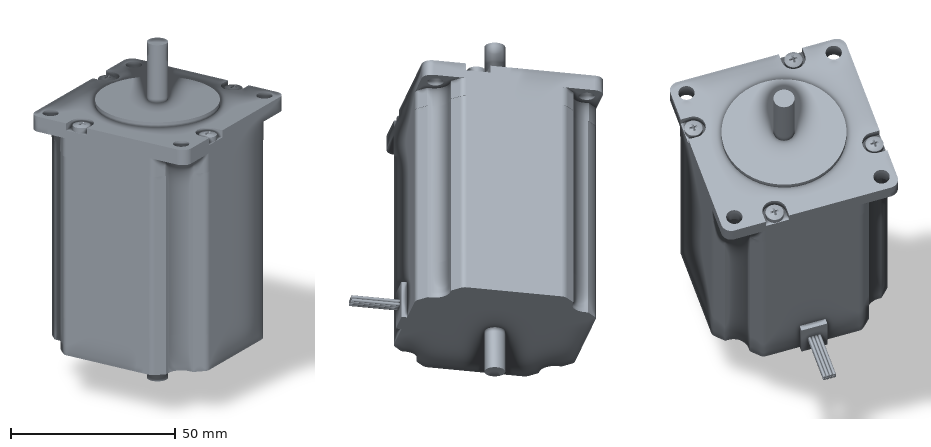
import cadquery as cq
import math


total_length = 110.1
width = 56.4
half_width = width / 2

rear_shaft_length = 13.5
body_length = 76.0
cap_height = 11.9
front_housing_height = 11.0
flange_thickness = 5.0
pilot_height = 1.7

shaft_diameter = 6.4
pilot_diameter = 38.1

flange_corner_radius = 3.1
mount_hole_diameter = 5.0
mount_hole_offset = 23.6

edge_round_radius = 2.4
relief_step = 19.0
relief_radius = 4.8
housing_bevel_sum = 44.3
stack_bevel_sum = 44.0

screw_offset_along = 11.2
screw_offset_out = 25.3
screw_head_diameter = 5.5
screw_head_height = 1.7
screw_dome_height = 0.5
screw_pocket_width = 7.5
screw_pocket_depth = 2.3
recess_diameter = 3.0
recess_slot_width = 0.7
recess_depth = 1.1

grommet_width = 8.3
grommet_depth = 1.8
lead_diameter = 1.0
lead_pitch = 1.05
lead_columns = 4
lead_rows = 2
lead_end = 44.9

stack_top = body_length - front_housing_height
flange_bottom = body_length - flange_thickness
pocket_floor = body_length - screw_pocket_depth


def cylinder(diameter, bottom, height):
    return cq.Workplane("XY").workplane(offset=bottom).circle(diameter / 2).extrude(height)


def quarter_turn(point, count):
    """Turn a point about the shaft axis by a number of quarter turns."""
    x, y = point
    for _ in range(count):
        x, y = -y, x
    return x, y


def body_section(bevel_sum, bottom, height):
    """Square prism whose four corners are rounded, bevelled and relieved by a concave groove."""
    bevel_angle = math.radians(45)

    def edge_round(angle, start):
        """Point on the rounded edge, as its distances outward and along the side face."""
        outward = half_width - edge_round_radius * (1 - math.cos(angle))
        return outward, start + edge_round_radius * math.sin(angle)

    bevel_outward, round_run = edge_round(bevel_angle, 0)
    face_end = bevel_sum - bevel_outward - round_run
    round_start = (half_width, face_end)
    round_mid = edge_round(bevel_angle / 2, face_end)
    round_end = edge_round(bevel_angle, face_end)
    bevel_end = (bevel_sum - relief_step, relief_step)
    groove_start = (relief_step + relief_radius, relief_step)
    groove_mid_offset = relief_step + relief_radius * (1 - math.cos(bevel_angle))
    groove_mid = (groove_mid_offset, groove_mid_offset)

    def mirrored(point):
        return point[1], point[0]

    outline = cq.Workplane("XY").workplane(offset=bottom).moveTo(half_width, -face_end)
    for quarter in range(4):
        corner = [
            quarter_turn(point, quarter)
            for point in (
                round_start, round_mid, round_end, bevel_end, groove_start, groove_mid,
                mirrored(groove_start), mirrored(bevel_end), mirrored(round_end),
                mirrored(round_mid), mirrored(round_start),
            )
        ]
        outline = (
            outline.lineTo(*corner[0])
            .threePointArc(corner[1], corner[2])
            .lineTo(*corner[3])
            .lineTo(*corner[4])
            .threePointArc(corner[5], corner[6])
            .lineTo(*corner[7])
            .lineTo(*corner[8])
            .threePointArc(corner[9], corner[10])
        )
    return outline.close().extrude(height)


def flange():
    plate = (
        cq.Workplane("XY").workplane(offset=flange_bottom)
        .rect(width, width).extrude(flange_thickness)
        .edges("|Z").fillet(flange_corner_radius)
    )
    return (
        plate.faces(">Z").workplane()
        .rect(2 * mount_hole_offset, 2 * mount_hole_offset, forConstruction=True)
        .vertices().hole(mount_hole_diameter)
    )


def screw_pocket():
    """Pocket at the +Y side: round about the screw and open to the flange edge."""
    floor = cq.Workplane("XY").workplane(offset=pocket_floor)
    round_end = floor.circle(screw_pocket_width / 2).extrude(screw_pocket_depth)
    channel = (
        floor.center(0, screw_pocket_width / 2)
        .rect(screw_pocket_width, screw_pocket_width).extrude(screw_pocket_depth)
    )
    return round_end.union(channel).translate((screw_offset_along, screw_offset_out, 0))


def screw_head():
    """Domed head standing on the pocket floor, with a cross recess that narrows downward."""
    radius = screw_head_diameter / 2
    rim = pocket_floor + screw_head_height
    crown = rim + screw_dome_height
    sphere_radius = (radius**2 + screw_dome_height**2) / (2 * screw_dome_height)
    dome_mid = (radius / 2, crown - sphere_radius + math.sqrt(sphere_radius**2 - (radius / 2) ** 2))
    head = (
        cq.Workplane("XZ").moveTo(0, pocket_floor)
        .lineTo(radius, pocket_floor)
        .lineTo(radius, rim)
        .threePointArc(dome_mid, (0, crown))
        .close().revolve(360, (0, 0), (0, 1))
    )
    top = cq.Workplane("XY").workplane(offset=crown)
    cross = (
        top.rect(recess_diameter, recess_slot_width).extrude(-recess_depth)
        .union(top.rect(recess_slot_width, recess_diameter).extrude(-recess_depth))
    )
    taper = (
        top.circle(recess_diameter / 2)
        .workplane(offset=-recess_depth).circle(recess_slot_width / 2).loft()
    )
    return head.cut(cross.intersect(taper)).translate((screw_offset_along, screw_offset_out, 0))


def lead_outlet():
    """Block on the rear cap with a grid of parallel leads."""
    grommet = (
        cq.Workplane("XY").center(0, half_width)
        .rect(grommet_width, 2 * grommet_depth).extrude(cap_height)
    )
    leads = (
        cq.Workplane("XZ", origin=(0, half_width, cap_height / 2))
        .rarray(lead_pitch, lead_pitch, lead_columns, lead_rows)
        .circle(lead_diameter / 2).extrude(half_width - lead_end)
    )
    return grommet.union(leads)


housing = body_section(housing_bevel_sum, stack_top, flange_bottom - stack_top)
stack = body_section(stack_bevel_sum, cap_height, stack_top - cap_height)
rear_cap = body_section(stack_bevel_sum, 0, cap_height)
motor = flange().union(housing).union(stack, clean=False).union(rear_cap, clean=False)

for quarter in range(4):
    turn = 90 * quarter
    motor = motor.cut(screw_pocket().rotate((0, 0, 0), (0, 0, 1), turn), clean=False)
    motor = motor.union(screw_head().rotate((0, 0, 0), (0, 0, 1), turn), clean=False)

pilot = cylinder(pilot_diameter, body_length, pilot_height)
shaft = cylinder(shaft_diameter, -rear_shaft_length, total_length)
result = motor
for piece in (pilot, shaft, lead_outlet()):
    result = result.union(piece, clean=False)